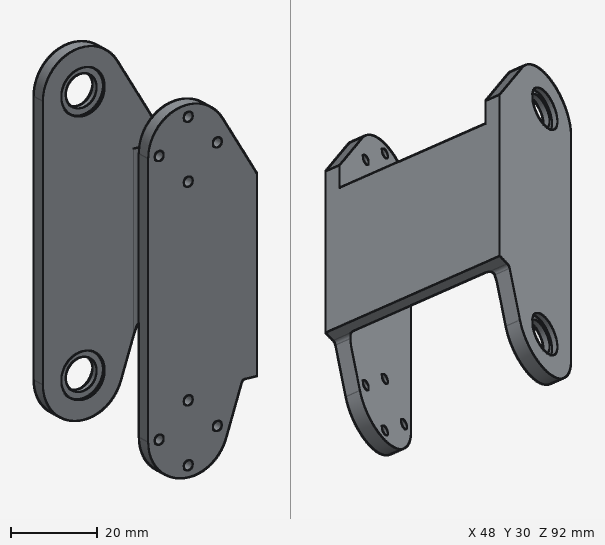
import cadquery as cq
import math

length = 92.0
width = 48.0
depth = 30.0

plate_thickness = 4.0
end_radius = 11.0
back_edge_half = 25.0
step_depth = 4.0
step_fillet = 1.0
web_thickness = 3.0
web_top = 18.0
web_fillet = 2.0

bore_diameter = 8.5
outer_recess_diameter = 10.5
outer_recess_depth = 1.5
inner_recess_diameter = 12.0
inner_recess_depth = 0.7

screw_diameter = 2.5
screw_circle_radius = 8.0
screw_count = 4

front_y = -end_radius
back_y = front_y + depth
pivot_z = length / 2 - end_radius
half_width = width / 2
inner_half_width = half_width - plate_thickness
pivots = [(0, pivot_z), (0, -pivot_z)]


def tangent_point(y, z):
    """Touch point, on the +Z end round, of the line from (y, z) that passes behind the pivot."""
    distance = math.hypot(y, z - pivot_z)
    angle = math.atan2(z - pivot_z, y) + math.acos(end_radius / distance)
    return end_radius * math.cos(angle), pivot_z + end_radius * math.sin(angle)


def side_profile():
    """Side outline in YZ, extruded over the whole width."""
    step_y = back_y - step_depth
    top_touch = tangent_point(back_y, back_edge_half)
    touch_y, touch_z = tangent_point(step_y, back_edge_half)
    body = (
        cq.Workplane("YZ", origin=(-half_width, 0, 0))
        .moveTo(front_y, -pivot_z)
        .lineTo(front_y, pivot_z)
        .threePointArc((0, length / 2), top_touch)
        .lineTo(back_y, back_edge_half)
        .lineTo(back_y, -back_edge_half)
        .lineTo(step_y, -back_edge_half)
        .lineTo(touch_y, -touch_z)
        .threePointArc((0, -length / 2), (front_y, -pivot_z))
        .close()
        .extrude(width)
    )
    step_corner = cq.selectors.NearestToPointSelector((0, step_y, -back_edge_half))
    return body.edges("|X").edges(step_corner).fillet(step_fillet)


def channel_opening():
    """Space between the plates in front of the web, rounded where the plates meet the web."""
    opening_depth = depth - web_thickness
    return (
        cq.Workplane("XY")
        .box(2 * inner_half_width, opening_depth, length)
        .edges("|Z and >Y")
        .fillet(web_fillet)
        .translate((0, front_y + opening_depth / 2, 0))
    )


def opening_above_web():
    """Full-depth space between the plates above the web."""
    return cq.Workplane("XY").box(
        2 * inner_half_width, depth, length / 2 - web_top, centered=(True, False, False)
    ).translate((0, front_y, web_top))


def pivot_cylinders(diameter, start_x, height):
    """One cylinder along +X at each pivot."""
    return (
        cq.Workplane("YZ", origin=(start_x, 0, 0))
        .pushPoints(pivots)
        .circle(diameter / 2)
        .extrude(height)
    )


def screw_holes():
    """Screw holes through the +X plate."""
    plate = cq.Workplane("YZ", origin=(inner_half_width, 0, 0))
    holes = cq.Workplane("YZ")
    for pivot in pivots:
        holes = holes.add(
            plate.center(*pivot)
            .polarArray(screw_circle_radius, 0, 360, screw_count)
            .circle(screw_diameter / 2)
            .extrude(plate_thickness)
        )
    return holes.combine()


result = side_profile().cut(channel_opening()).cut(opening_above_web())

result = result.cut(pivot_cylinders(bore_diameter, -half_width, plate_thickness))
result = result.cut(pivot_cylinders(outer_recess_diameter, -half_width, outer_recess_depth))
inner_recess_start = -inner_half_width - inner_recess_depth
result = result.cut(pivot_cylinders(inner_recess_diameter, inner_recess_start, inner_recess_depth))

result = result.cut(screw_holes())